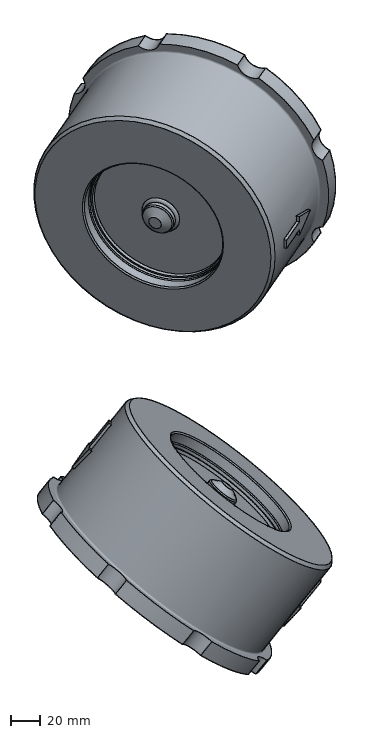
import cadquery as cq
import math


length = 90.0
flange_thickness = 12.3
flange_radius = 96.0
body_radius = 89.0
neck_fillet = 1.3
front_chamfer_radial = 2.0
front_chamfer_axial = 2.5

notch_count = 8
notch_half_width = 8.4
notch_depth = 4.5

bore_mouth_radius = 52.0
bore_mouth_chamfer = 1.0
bore_radius = bore_mouth_radius - bore_mouth_chamfer
bore_wall_depth = 8.0
seat_radius = 50.5
seat_start_depth = 9.0
seat_end_depth = 11.3
seat_inner_radius = 49.4
disc_radius = 49.0
disc_depth = 13.6

boss_radius = 11.6
boss_root_fillet = 2.2
boss_shoulder_height = 5.2
boss_cone_radius = 10.8
boss_cone_height = 6.2
boss_tip_radius = 5.2
boss_height = 10.0
boss_tip_chamfer = 0.6

arrow_face_x = 91.0
arrow_tail_y = 17.5
arrow_shoulder_y = 39.3
arrow_tip_y = 58.3
arrow_shaft_half_width = 3.5
arrow_head_half_width = 8.0
arrow_embedding = 5.0
arrow_root_x = body_radius - arrow_embedding


def revolve_about_y(profile):
    """Turn a closed profile, drawn as (radius, Y), around the Y axis."""
    return profile.close().revolve(360, (0, 0, 0), (0, 1, 0))


def make_body():
    flange_front_y = length - flange_thickness
    return revolve_about_y(
        cq.Workplane("XY")
        .moveTo(0, 0)
        .lineTo(body_radius - front_chamfer_radial, 0)
        .lineTo(body_radius, front_chamfer_axial)
        .lineTo(body_radius, flange_front_y - neck_fillet)
        .radiusArc((body_radius + neck_fillet, flange_front_y), neck_fillet)
        .lineTo(flange_radius, flange_front_y)
        .lineTo(flange_radius, length)
        .lineTo(0, length)
    )


def make_notches():
    rim_distance = math.sqrt(flange_radius**2 - notch_half_width**2)
    arc_height = rim_distance - (flange_radius - notch_depth)
    notch_radius = (notch_half_width**2 + arc_height**2) / (2 * arc_height)
    notch_centre = flange_radius - notch_depth + notch_radius
    pitch = 360 / notch_count
    return (
        cq.Workplane("XZ", origin=(0, length, 0))
        .polarArray(notch_centre, pitch / 2, 360, notch_count)
        .circle(notch_radius)
        .extrude(flange_thickness)
    )


def make_bore():
    return revolve_about_y(
        cq.Workplane("XY")
        .moveTo(0, 0)
        .lineTo(bore_mouth_radius, 0)
        .lineTo(bore_radius, bore_mouth_chamfer)
        .lineTo(bore_radius, bore_wall_depth)
        .lineTo(seat_radius, seat_start_depth)
        .lineTo(seat_radius, seat_end_depth)
        .lineTo(seat_inner_radius, seat_end_depth)
        .lineTo(disc_radius, disc_depth)
        .lineTo(0, disc_depth)
    )


def make_boss():
    root_y = disc_depth - boss_root_fillet
    tip_y = disc_depth - boss_height
    return revolve_about_y(
        cq.Workplane("XY")
        .moveTo(0, disc_depth)
        .lineTo(boss_radius + boss_root_fillet, disc_depth)
        .radiusArc((boss_radius, root_y), boss_root_fillet)
        .lineTo(boss_radius, disc_depth - boss_shoulder_height)
        .lineTo(boss_cone_radius, disc_depth - boss_cone_height)
        .lineTo(boss_tip_radius, tip_y + boss_tip_chamfer)
        .lineTo(boss_tip_radius - boss_tip_chamfer, tip_y)
        .lineTo(0, tip_y)
    )


def make_arrow():
    """Arrow on the +X side, pointing toward the flange."""
    return (
        cq.Workplane("YZ", origin=(arrow_root_x, 0, 0))
        .moveTo(arrow_tail_y, -arrow_shaft_half_width)
        .lineTo(arrow_shoulder_y, -arrow_shaft_half_width)
        .lineTo(arrow_shoulder_y, -arrow_head_half_width)
        .lineTo(arrow_tip_y, 0)
        .lineTo(arrow_shoulder_y, arrow_head_half_width)
        .lineTo(arrow_shoulder_y, arrow_shaft_half_width)
        .lineTo(arrow_tail_y, arrow_shaft_half_width)
        .close()
        .extrude(arrow_face_x - arrow_root_x)
    )


arrow = make_arrow()
result = (
    make_body()
    .cut(make_notches())
    .cut(make_bore())
    .union(make_boss())
    .union(arrow)
    .union(arrow.mirror("YZ"))
)